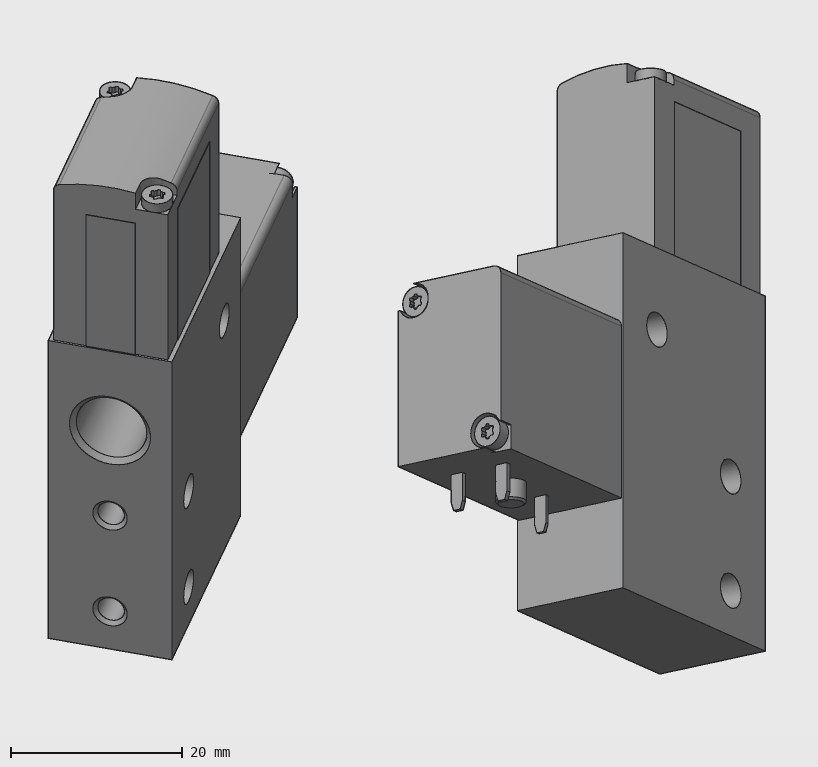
import cadquery as cq
import math

BLOCK_WIDTH = 15.0
BLOCK_DEPTH = 28.95
BLOCK_HEIGHT = 43.5
OVERALL_DEPTH = 53.5
OVERALL_HEIGHT = 67.2

MOUNT_DIAMETER = 4.2
PORT_HEIGHTS = (5.5, 19.5)
FRONT_MOUNT_Y = 7.05
MOUNT_POSITIONS = [(FRONT_MOUNT_Y, z) for z in PORT_HEIGHTS] + [(22.05, 33.45)]

SMALL_PORT_DIAMETER = 3.2
SMALL_PORT_MOUTH = 4.2
LARGE_PORT_DIAMETER = 8.55
LARGE_PORT_MOUTH = 9.8
LARGE_PORT_HEIGHT = 31.9
LARGE_PORT_DEPTH = 13.45

COVER_WIDTH = 13.85
COVER_FRONT = 0.3
COVER_BACK = 21.7
COVER_CROWN_RADIUS = 22.2
COVER_EDGE_FILLET = 1.0
COVER_CENTER_Y = (COVER_FRONT + COVER_BACK) / 2

PANEL_THICKNESS = 0.1
PANEL_TOP = 62.6
FRONT_PANEL_WIDTH = 6.0
SIDE_PANEL_WIDTH = 13.45

PILOT_WIDTH = 14.6
PILOT_BOTTOM = 11.0
PILOT_TOP = 33.05
PILOT_EDGE_FILLET = 1.0
PILOT_CENTER_Z = (PILOT_BOTTOM + PILOT_TOP) / 2

HEAD_DIAMETER = 3.6
NOTCH_RADIUS = 2.1
SCREW_OFFSET_SHORT = (COVER_WIDTH - HEAD_DIAMETER) / 2
SCREW_OFFSET_LONG = (COVER_BACK - COVER_FRONT - HEAD_DIAMETER) / 2
COVER_NOTCH_DEPTH = 2.55
COVER_HEAD_HEIGHT = 1.3
PILOT_NOTCH_DEPTH = 2.1
PILOT_HEAD_HEIGHT = 1.7
PILOT_NOTCH_OVERLAP = 0.9
SOCKET_DIAMETER = 1.5
SOCKET_LOBE_RADIUS = 0.2
SOCKET_LOBES = 6
SOCKET_DEPTH = 0.8

BOSS_Y = 41.0
BOSS_DIAMETER = 3.6
BOSS_LENGTH = 2.55
BOSS_CHAMFER = 0.3
PIN_LENGTH = 4.45
PIN_TIP_LENGTH = 1.0
PIN_TIP_INSET = 0.35
PIN_WIDTH = 1.6
PIN_SPACING_Y = 6.2
CONTACT_X = 3.15
CONTACT_THICKNESS = 0.6
GROUND_THICKNESS = 0.5


def box_between(x_range, y_range, z_range):
    """Axis-aligned box spanning the three given ranges."""
    size = [high - low for low, high in (x_range, y_range, z_range)]
    corner = (x_range[0], y_range[0], z_range[0])
    return cq.Workplane("XY").box(*size, centered=False).translate(corner)


def front_port(height, diameter, mouth_diameter, depth):
    """Cutter for a port bored along +Y, with a 45 degree chamfered mouth."""
    radius = diameter / 2
    mouth_radius = mouth_diameter / 2
    profile = [
        (0, 0),
        (mouth_radius, 0),
        (radius, mouth_radius - radius),
        (radius, depth),
        (0, depth),
    ]
    port = cq.Workplane("XY").polyline(profile).close().revolve(360, (0, 0, 0), (0, 1, 0))
    return port.translate((0, 0, height))


def make_block():
    """Valve block with its cross holes and front ports."""
    half_width = BLOCK_WIDTH / 2
    block = box_between((-half_width, half_width), (0, BLOCK_DEPTH), (0, BLOCK_HEIGHT))
    mount_holes = (
        cq.Workplane("YZ", origin=(-half_width, 0, 0))
        .pushPoints(MOUNT_POSITIONS)
        .circle(MOUNT_DIAMETER / 2)
        .extrude(BLOCK_WIDTH)
    )
    block = block.cut(mount_holes)
    for height in PORT_HEIGHTS:
        block = block.cut(front_port(height, SMALL_PORT_DIAMETER, SMALL_PORT_MOUTH, FRONT_MOUNT_Y))
    return block.cut(front_port(LARGE_PORT_HEIGHT, LARGE_PORT_DIAMETER, LARGE_PORT_MOUTH, LARGE_PORT_DEPTH))


def screw_notch(overlaps, depth):
    """Notch cutter, sunk from Z = 0 around the screw axis and open towards +X and +Y.

    The overlaps tell how far the openings reach back past the screw axis: along X for
    the opening in the +Y side, and along Y for the opening in the +X side.
    """
    overlap_x, overlap_y = overlaps
    reach = 2 * NOTCH_RADIUS
    long_side_opening = box_between((-overlap_x, reach), (0, reach), (-depth, 0))
    short_side_opening = box_between((0, reach), (-overlap_y, reach), (-depth, 0))
    recess = cq.Workplane("XY").circle(NOTCH_RADIUS).extrude(-depth)
    return recess.union(long_side_opening).union(short_side_opening)


def screw_head(height):
    """Screw head standing on Z = 0, with a six-lobed socket in its top."""
    socket_radius = SOCKET_DIAMETER / 2
    socket = cq.Workplane("XY").circle(socket_radius).extrude(SOCKET_DEPTH)
    lobes = (
        cq.Workplane("XY")
        .polarArray(socket_radius, 0, 360, SOCKET_LOBES)
        .circle(SOCKET_LOBE_RADIUS)
        .extrude(SOCKET_DEPTH)
    )
    socket = socket.union(lobes).translate((0, 0, height - SOCKET_DEPTH))
    return cq.Workplane("XY").circle(HEAD_DIAMETER / 2).extrude(height).cut(socket)


def add_corner_screws(body, face_plane, overlaps, notch_depth, head):
    """Fit notches and screws in two opposite corners of a housing.

    The plane has its origin at the middle of the screwed face, its X axis along the
    longer side, and one of the two screws in its +X +Y quadrant.
    """
    notch = screw_notch(overlaps, notch_depth)
    head = head.translate((0, 0, -notch_depth))

    def place(tool, angle):
        shifted = tool.translate((SCREW_OFFSET_LONG, SCREW_OFFSET_SHORT, 0))
        turned = shifted.rotate((0, 0, 0), (0, 0, 1), angle)
        return cq.Workplane(turned.val().moved(cq.Location(face_plane)))

    for angle in (0, 180):
        body = body.cut(place(notch, angle)).union(place(head, angle))
    return body


def make_cover():
    """Solenoid cover with a crowned top, raised panels and two screws."""
    half_width = COVER_WIDTH / 2
    crown_drop = COVER_CROWN_RADIUS - math.sqrt(COVER_CROWN_RADIUS**2 - half_width**2)
    shoulder = OVERALL_HEIGHT - crown_drop
    cover = (
        cq.Workplane("XZ", origin=(0, COVER_BACK, 0))
        .moveTo(-half_width, BLOCK_HEIGHT)
        .lineTo(half_width, BLOCK_HEIGHT)
        .lineTo(half_width, shoulder)
        .threePointArc((0, OVERALL_HEIGHT), (-half_width, shoulder))
        .close()
        .extrude(COVER_BACK - COVER_FRONT)
        .edges("|Y and (not <Z)")
        .fillet(COVER_EDGE_FILLET)
    )

    panel_heights = (BLOCK_HEIGHT, PANEL_TOP)
    front_panel = box_between(
        (-FRONT_PANEL_WIDTH / 2, FRONT_PANEL_WIDTH / 2),
        (COVER_FRONT - PANEL_THICKNESS, COVER_CENTER_Y),
        panel_heights,
    )
    side_reach = half_width + PANEL_THICKNESS
    side_panels = box_between(
        (-side_reach, side_reach),
        (COVER_CENTER_Y - SIDE_PANEL_WIDTH / 2, COVER_CENTER_Y + SIDE_PANEL_WIDTH / 2),
        panel_heights,
    )
    cover = cover.union(front_panel).union(side_panels)

    top_face = cq.Plane(origin=(0, COVER_CENTER_Y, OVERALL_HEIGHT), xDir=(0, 1, 0), normal=(0, 0, 1))
    overlaps = (NOTCH_RADIUS, NOTCH_RADIUS)
    head = screw_head(COVER_HEAD_HEIGHT)
    return add_corner_screws(cover, top_face, overlaps, COVER_NOTCH_DEPTH, head)


def make_pilot():
    """Pilot housing with rounded upper edges and two screws in its rear face."""
    half_width = PILOT_WIDTH / 2
    pilot = box_between(
        (-half_width, half_width), (BLOCK_DEPTH, OVERALL_DEPTH), (PILOT_BOTTOM, PILOT_TOP)
    )
    pilot = pilot.edges("|Y and >Z").fillet(PILOT_EDGE_FILLET)
    rear_face = cq.Plane(origin=(0, OVERALL_DEPTH, PILOT_CENTER_Z), xDir=(0, 0, 1), normal=(0, 1, 0))
    overlaps = (PILOT_NOTCH_OVERLAP, 0)
    head = screw_head(PILOT_HEAD_HEIGHT)
    return add_corner_screws(pilot, rear_face, overlaps, PILOT_NOTCH_DEPTH, head)


def connector_pin(x, y, thickness):
    """Flat pin hanging from the pilot housing, its tip tapered on both X sides."""
    half_width = PIN_WIDTH / 2
    tip_half_width = half_width - PIN_TIP_INSET
    taper_start = PIN_TIP_LENGTH - PIN_LENGTH
    outline = [
        (-half_width, 0),
        (half_width, 0),
        (half_width, taper_start),
        (tip_half_width, -PIN_LENGTH),
        (-tip_half_width, -PIN_LENGTH),
        (-half_width, taper_start),
    ]
    pin = cq.Workplane("XZ").polyline(outline).close().extrude(thickness / 2, both=True)
    return pin.translate((x, y, PILOT_BOTTOM))


def make_connector():
    """Central boss, two contact pins behind it and a ground pin in front of it."""
    connector = (
        cq.Workplane("XY", origin=(0, BOSS_Y, PILOT_BOTTOM))
        .circle(BOSS_DIAMETER / 2)
        .extrude(-BOSS_LENGTH)
        .faces("<Z")
        .chamfer(BOSS_CHAMFER)
    )
    for x in (-CONTACT_X, CONTACT_X):
        connector = connector.union(connector_pin(x, BOSS_Y + PIN_SPACING_Y, CONTACT_THICKNESS))
    return connector.union(connector_pin(0, BOSS_Y - PIN_SPACING_Y, GROUND_THICKNESS))


result = make_block().union(make_cover()).union(make_pilot()).union(make_connector())